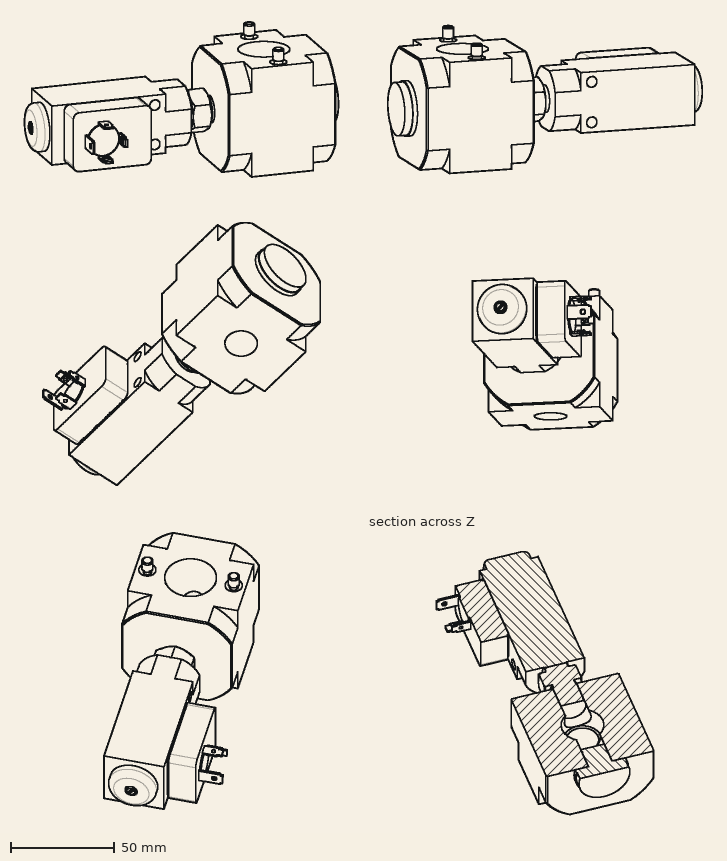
import cadquery as cq
import math


block_side = 55.0
block_half = block_side / 2
block_round_dia = 63.2
block_round_length = 11.7
block_chamfer = 0.6
port_mouth_dia = 25.0
port_seat_dia = 18.6
port_seat_z = -6.9
port_outlet_dia = 15.7
cross_bore_dia = 13.5
spigot_length = 12.3

plug_collar_dia = 26.9
plug_collar_length = 2.3
plug_head_dia = 26.0
plug_projection = 6.3

screw_offset_x = 21.5
screw_projection = 6.8
screw_neck_length = 1.0
screw_head_dia = 5.4
screw_neck_dia = 4.1
screw_tip_chamfer = 0.6
screw_depth = 7.7
screw_sink_dia = 8.3
screw_sink_depth = 1.2

stem_dia = 13.4
stem_ring_length = 1.0
stem_neck_dia = 13.0
nut_start_y = -30.0
nut_length = 9.5
nut_across_flats = 19.0
nut_face_dia = 18.7
nut_chamfer_angle = 30

housing_start_y = -42.3
housing_length = 71.5
housing_side = 30.0
housing_half = housing_side / 2
housing_round_dia = 32.3
housing_round_length = 13.2
housing_end_y = housing_start_y - housing_length
side_hole_dia = 5.2
side_hole_spacing = 20.0
side_hole_y = -61.0
knob_dia = 23.8
knob_length = 5.7
knob_fillet = 3.0
knob_face_y = housing_end_y - knob_length
adjuster_recess_dia = 6.0
adjuster_recess_depth = 0.9
adjuster_dia = 4.1
adjuster_projection = 0.5
adjuster_slot_width = 0.8
adjuster_slot_depth = 0.6
adjuster_slot_angle = 45

connector_length_y = 40.0
connector_centre_y = -87.7
connector_fillet = 3.0
connector_start_x = 15.7
connector_end_x = 29.3
gasket_inset = 0.9
contact_centre_y = -92.5
contact_base_dia = 16.0
contact_base_height = 0.8

blade_offset = 8.8
blade_width = 5.0
blade_thickness = 0.9
blade_end_x = 38.9
blade_tip_width = 3.7
blade_tip_length = 2.3
blade_hole_dia = 1.7
blade_hole_x = 34.4
blade_pad_side = 3.2
blade_pad_height = 0.9
earth_width = 6.6
earth_end_x = 41.0
earth_tip_width = 5.2
earth_tip_length = 1.0
earth_hole_dia = 2.5
earth_hole_x = 37.0


def rod(diameter, start_y, end_y):
    """Cylinder on the Y axis between two Y positions."""
    return (
        cq.Workplane("XZ", origin=(0, start_y, 0))
        .circle(diameter / 2)
        .extrude(start_y - end_y)
    )


def rounded_end(side, round_dia, start_y, end_y):
    """Square bar on the Y axis with its corners trimmed to a round."""
    bar = cq.Workplane("XZ", origin=(0, start_y, 0)).rect(side, side).extrude(start_y - end_y)
    return bar.intersect(rod(round_dia, start_y, end_y))


def screw_hole():
    """Blind hole with a conical mouth, on the Z axis of the top face."""
    neck_radius = screw_neck_dia / 2
    return (
        cq.Workplane("XZ")
        .moveTo(0, block_half)
        .lineTo(screw_sink_dia / 2, block_half)
        .lineTo(neck_radius, block_half - screw_sink_depth)
        .lineTo(neck_radius, block_half - screw_depth)
        .lineTo(0, block_half - screw_depth)
        .close()
        .revolve(360, (0, 0, 0), (0, 1, 0))
    )


def make_block():
    middle_half = block_half - block_round_length
    block = cq.Workplane("XY").box(block_side, 2 * middle_half, block_side)
    back = rounded_end(block_side, block_round_dia, block_half, middle_half)
    front = rounded_end(block_side, block_round_dia, -middle_half, -block_half)
    block = block.union(back.faces(">Y").chamfer(block_chamfer))
    block = block.union(front.faces("<Y").chamfer(block_chamfer))

    port = (
        cq.Workplane("XZ")
        .moveTo(0, block_half)
        .lineTo(port_mouth_dia / 2, block_half)
        .lineTo(port_seat_dia / 2, port_seat_z)
        .lineTo(port_outlet_dia / 2, port_seat_z)
        .lineTo(port_outlet_dia / 2, -block_half)
        .lineTo(0, -block_half)
        .close()
        .revolve(360, (0, 0, 0), (0, 1, 0))
    )
    block = block.cut(port).cut(rod(cross_bore_dia, block_half, -block_half))
    for side in (-1, 1):
        block = block.cut(screw_hole().translate((side * screw_offset_x, 0, 0)))
    return block


def make_plug():
    collar_end = block_half + plug_collar_length
    plug = rod(plug_head_dia, block_half + plug_projection, collar_end)
    plug = plug.union(rod(plug_collar_dia, collar_end, block_half))
    return plug.union(rod(cross_bore_dia, block_half, block_half - spigot_length))


def make_screw(side):
    head_length = screw_projection - screw_neck_length
    head = (
        cq.Workplane("XY", origin=(0, 0, block_half + screw_neck_length))
        .circle(screw_head_dia / 2)
        .extrude(head_length)
        .faces(">Z")
        .chamfer(screw_tip_chamfer)
    )
    shank = (
        cq.Workplane("XY", origin=(0, 0, block_half - screw_depth))
        .circle(screw_neck_dia / 2)
        .extrude(screw_depth + screw_neck_length)
    )
    return head.union(shank).translate((side * screw_offset_x, 0, 0))


def make_nut():
    """Hexagon with corners up and down and both ends chamfered."""
    across_corners = nut_across_flats / math.cos(math.pi / 6)
    end_y = nut_start_y - nut_length
    hexagon = (
        cq.Workplane("XZ", origin=(0, nut_start_y, 0))
        .transformed(rotate=(0, 0, 90))
        .polygon(6, across_corners)
        .extrude(nut_length)
    )
    corner_radius = across_corners / 2
    face_radius = nut_face_dia / 2
    drop = (corner_radius - face_radius) * math.tan(math.radians(nut_chamfer_angle))
    envelope = (
        cq.Workplane("XY")
        .moveTo(0, nut_start_y)
        .lineTo(face_radius, nut_start_y)
        .lineTo(corner_radius, nut_start_y - drop)
        .lineTo(corner_radius, end_y + drop)
        .lineTo(face_radius, end_y)
        .lineTo(0, end_y)
        .close()
        .revolve(360, (0, 0, 0), (0, 1, 0))
    )
    return hexagon.intersect(envelope)


def make_adapter():
    ring_end = -block_half - stem_ring_length
    adapter = rod(cross_bore_dia, -block_half + spigot_length, -block_half)
    adapter = adapter.union(rod(stem_dia, -block_half, ring_end))
    adapter = adapter.union(rod(stem_neck_dia, ring_end, nut_start_y))
    adapter = adapter.union(make_nut())
    return adapter.union(rod(stem_dia, nut_start_y - nut_length, housing_start_y))


def make_knob():
    """Rounded knob with a slotted adjuster in its face."""
    recess_floor_y = knob_face_y + adjuster_recess_depth
    adjuster_tip_y = knob_face_y - adjuster_projection
    knob = rod(knob_dia, housing_end_y, knob_face_y).faces("<Y").edges().fillet(knob_fillet)
    knob = knob.cut(rod(adjuster_recess_dia, recess_floor_y, knob_face_y))
    slot = (
        cq.Workplane("XZ", origin=(0, adjuster_tip_y + adjuster_slot_depth, 0))
        .transformed(rotate=(0, 0, adjuster_slot_angle))
        .rect(adjuster_recess_dia, adjuster_slot_width)
        .extrude(adjuster_slot_depth)
    )
    adjuster = rod(adjuster_dia, recess_floor_y, adjuster_tip_y).cut(slot)
    return knob.union(adjuster)


def make_housing():
    round_end_y = housing_start_y - housing_round_length
    housing = rounded_end(housing_side, housing_round_dia, housing_start_y, round_end_y)
    bar = (
        cq.Workplane("XZ", origin=(0, round_end_y, 0))
        .rect(housing_side, housing_side)
        .extrude(housing_length - housing_round_length)
    )
    side_holes = (
        cq.Workplane("YZ", origin=(-housing_half, side_hole_y, 0))
        .rarray(1.5, side_hole_spacing, 1, 2)
        .circle(side_hole_dia / 2)
        .extrude(housing_side)
    )
    return housing.union(bar).cut(side_holes).union(make_knob())


def rounded_slab(start_x, end_x, inset):
    """Connector outline, drawn in by an inset, between two X positions."""
    return (
        cq.Workplane("YZ", origin=(start_x, connector_centre_y, 0))
        .rect(connector_length_y - 2 * inset, housing_side - 2 * inset)
        .extrude(end_x - start_x)
        .edges("|X")
        .fillet(connector_fillet)
    )


def make_blade(width, end_x, tip_width, tip_length, hole_dia, hole_x):
    """Flat blade along X, lying on the XY plane at the middle of its thickness."""
    shoulder_x = end_x - tip_length
    return (
        cq.Workplane("XY", origin=(0, 0, -blade_thickness / 2))
        .moveTo(connector_end_x, -width / 2)
        .lineTo(shoulder_x, -width / 2)
        .lineTo(shoulder_x, -tip_width / 2)
        .lineTo(end_x, -tip_width / 2)
        .lineTo(end_x, tip_width / 2)
        .lineTo(shoulder_x, tip_width / 2)
        .lineTo(shoulder_x, width / 2)
        .lineTo(connector_end_x, width / 2)
        .close()
        .moveTo(hole_x, 0)
        .circle(hole_dia / 2)
        .extrude(blade_thickness)
    )


def make_contact_blade():
    """Contact blade above the contact centre, with a pad on its inner side."""
    blade = make_blade(
        blade_width, blade_end_x, blade_tip_width, blade_tip_length, blade_hole_dia, blade_hole_x
    )
    pad = (
        cq.Workplane("XY", origin=(blade_hole_x, 0, -blade_thickness / 2))
        .rect(blade_pad_side, blade_pad_side)
        .circle(blade_hole_dia / 2)
        .extrude(-blade_pad_height)
    )
    return blade.union(pad).translate((0, 0, blade_offset))


def make_connector():
    connector = rounded_slab(housing_half, connector_start_x, gasket_inset)
    connector = connector.union(rounded_slab(connector_start_x, connector_end_x, 0))
    contacts = (
        cq.Workplane("YZ", origin=(connector_end_x, 0, 0))
        .circle(contact_base_dia / 2)
        .extrude(contact_base_height)
    )
    for angle in (0, -90, 180):
        contacts = contacts.union(make_contact_blade().rotate((0, 0, 0), (1, 0, 0), angle))
    earth = make_blade(
        earth_width, earth_end_x, earth_tip_width, earth_tip_length, earth_hole_dia, earth_hole_x
    )
    earth = earth.translate((0, 0, blade_offset)).rotate((0, 0, 0), (1, 0, 0), 90)
    contacts = contacts.union(earth)
    return connector.union(contacts.translate((0, contact_centre_y, 0)))


block = make_block()
plug = make_plug()
screws = [make_screw(side) for side in (-1, 1)]
adapter = make_adapter()
housing = make_housing()
connector = make_connector()

result = cq.Compound.makeCompound(
    [
        block.val(),
        plug.val(),
        *[screw.val() for screw in screws],
        adapter.val(),
        housing.val(),
        connector.val(),
    ]
)